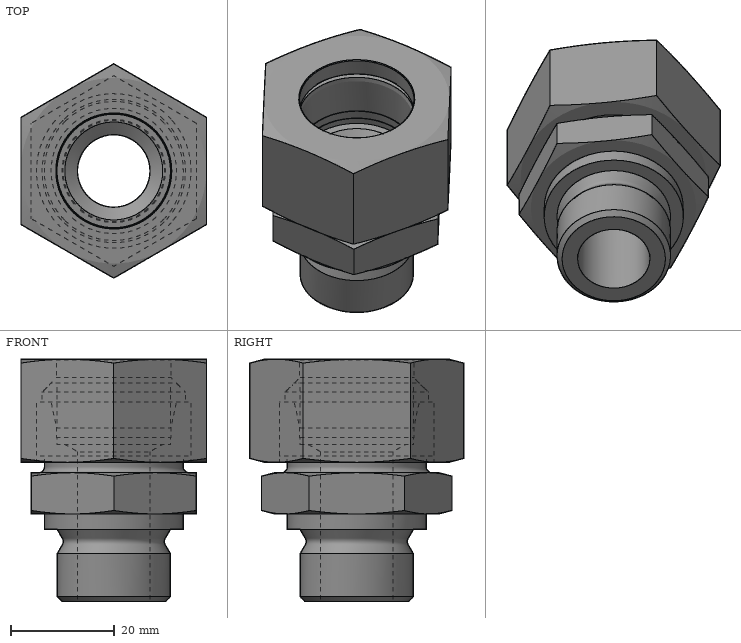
import cadquery as cq
import math


collar_bottom_z = 14.0
body_hex_bottom_z = 17.0
body_hex_top_z = 25.0
nut_bottom_z = 27.02
thread_start_z = 28.2
tube_stop_z = 30.5
nut_top_z = 47.0

nut_across_flats = 36.0
body_across_flats = 32.0
hex_sides = 6
hex_chamfer_angle = math.radians(15)

stud_radius = 22.0 / 2
stud_chamfer = 1.0
collar_radius = 27.0 / 2
neck_fillet = 1.15
thread_radius = 30.0 / 2
passage_radius = 14.0 / 2
passage_mouth_radius = 9.5
passage_taper_angle = math.radians(60)

groove_height = 4.7
groove_angle = math.radians(30)
groove_arc_radius = 1.18

tube_radius = 22.0 / 2
socket_relief_radius = 11.1
socket_relief_z = 31.8
cone_mouth_radius = 24.3 / 2
cone_angle = math.radians(12)
cone_bottom_z = 33.7
cone_mouth_z = cone_bottom_z + (cone_mouth_radius - socket_relief_radius) / math.tan(cone_angle)

nut_lip_radius = 11.1
nut_lip_chamfer = 0.165
nut_lip_height = 3.55
cavity_radius = 27.82 / 2
nut_cone_top_z = nut_top_z - nut_lip_height
nut_cone_bottom_z = nut_cone_top_z - (cavity_radius - nut_lip_radius)

ring_face_radius = 24.3 / 2
ring_top_z = nut_cone_top_z - (ring_face_radius - nut_lip_radius)
ring_lead_in_radius = 11.25
ring_lead_in_depth = 0.9


def revolve_profile(points):
    """Turn a closed (radius, z) outline about the Z axis."""
    outline = cq.Workplane("XZ").polyline(points).close()
    return outline.revolve(360, (0, 0, 0), (0, 1, 0))


def chamfered_hex(across_flats, bottom_z, top_z):
    """Hexagonal prism with its corners turned down at both ends."""
    corner_diameter = across_flats / math.cos(math.pi / hex_sides)
    flat_radius = across_flats / 2
    corner_radius = corner_diameter / 2
    corner_drop = (corner_radius - flat_radius) * math.tan(hex_chamfer_angle)
    prism = (
        cq.Workplane("XY")
        .workplane(offset=bottom_z)
        .polygon(hex_sides, corner_diameter)
        .extrude(top_z - bottom_z)
        .rotate((0, 0, 0), (0, 0, 1), 180 / hex_sides)
    )
    envelope = revolve_profile([
        (0, bottom_z),
        (flat_radius, bottom_z),
        (corner_radius, bottom_z + corner_drop),
        (corner_radius, top_z - corner_drop),
        (flat_radius, top_z),
        (0, top_z),
    ])
    return prism.intersect(envelope)


def turned_stud():
    """Stud end with its waisted groove, up to and including the collar."""
    waist_z = collar_bottom_z - groove_height / 2
    flank_vertex_radius = stud_radius - groove_height / 2 * math.tan(groove_angle)
    waist_radius = flank_vertex_radius + groove_arc_radius * (1 / math.cos(groove_angle) - 1)
    arc_half_height = groove_arc_radius * math.sin(groove_angle)
    arc_end_radius = waist_radius + groove_arc_radius * (1 - math.cos(groove_angle))
    outline = (
        cq.Workplane("XZ")
        .moveTo(0, 0)
        .lineTo(stud_radius - stud_chamfer, 0)
        .lineTo(stud_radius, stud_chamfer)
        .lineTo(stud_radius, collar_bottom_z - groove_height)
        .lineTo(arc_end_radius, waist_z - arc_half_height)
        .threePointArc((waist_radius, waist_z), (arc_end_radius, waist_z + arc_half_height))
        .lineTo(stud_radius, collar_bottom_z)
        .lineTo(collar_radius, collar_bottom_z)
        .lineTo(collar_radius, body_hex_bottom_z)
        .lineTo(0, body_hex_bottom_z)
        .close()
    )
    return outline.revolve(360, (0, 0, 0), (0, 1, 0))


def turned_neck():
    """Neck with a rounded root on the hexagon, carrying the nut thread cylinder."""
    arc_offset = neck_fillet * (1 - math.sqrt(0.5))
    outline = (
        cq.Workplane("XZ")
        .moveTo(0, body_hex_top_z)
        .lineTo(collar_radius + neck_fillet, body_hex_top_z)
        .threePointArc(
            (collar_radius + arc_offset, body_hex_top_z + arc_offset),
            (collar_radius, body_hex_top_z + neck_fillet),
        )
        .lineTo(collar_radius, thread_start_z)
        .lineTo(thread_radius, thread_start_z)
        .lineTo(thread_radius, cone_mouth_z)
        .lineTo(0, cone_mouth_z)
        .close()
    )
    return outline.revolve(360, (0, 0, 0), (0, 1, 0))


def body_bore():
    """Through passage, its tapered mouth, the tube socket and the sealing cone."""
    taper_height = (passage_mouth_radius - passage_radius) / math.tan(passage_taper_angle)
    return revolve_profile([
        (0, 0),
        (passage_radius, 0),
        (passage_radius, tube_stop_z - taper_height),
        (passage_mouth_radius, tube_stop_z),
        (tube_radius, tube_stop_z),
        (tube_radius, socket_relief_z),
        (socket_relief_radius, socket_relief_z),
        (socket_relief_radius, cone_bottom_z),
        (cone_mouth_radius, cone_mouth_z),
        (0, cone_mouth_z),
    ])


def make_body():
    hexagon = chamfered_hex(body_across_flats, body_hex_bottom_z, body_hex_top_z)
    return turned_stud().union(hexagon).union(turned_neck()).cut(body_bore())


def make_nut():
    bore = revolve_profile([
        (0, nut_bottom_z),
        (thread_radius, nut_bottom_z),
        (thread_radius, cone_mouth_z),
        (cavity_radius, cone_mouth_z),
        (cavity_radius, nut_cone_bottom_z),
        (nut_lip_radius, nut_cone_top_z),
        (nut_lip_radius, nut_top_z - nut_lip_chamfer),
        (nut_lip_radius + nut_lip_chamfer, nut_top_z),
        (0, nut_top_z),
    ])
    return chamfered_hex(nut_across_flats, nut_bottom_z, nut_top_z).cut(bore)


def make_cutting_ring():
    return revolve_profile([
        (tube_radius, cone_bottom_z),
        (socket_relief_radius, cone_bottom_z),
        (cone_mouth_radius, cone_mouth_z),
        (cavity_radius, cone_mouth_z),
        (cavity_radius, nut_cone_bottom_z),
        (ring_face_radius, ring_top_z),
        (ring_lead_in_radius, ring_top_z),
        (tube_radius, ring_top_z - ring_lead_in_depth),
    ])


body = make_body()
nut = make_nut()
cutting_ring = make_cutting_ring()

result = cq.Compound.makeCompound([body.val(), nut.val(), cutting_ring.val()])